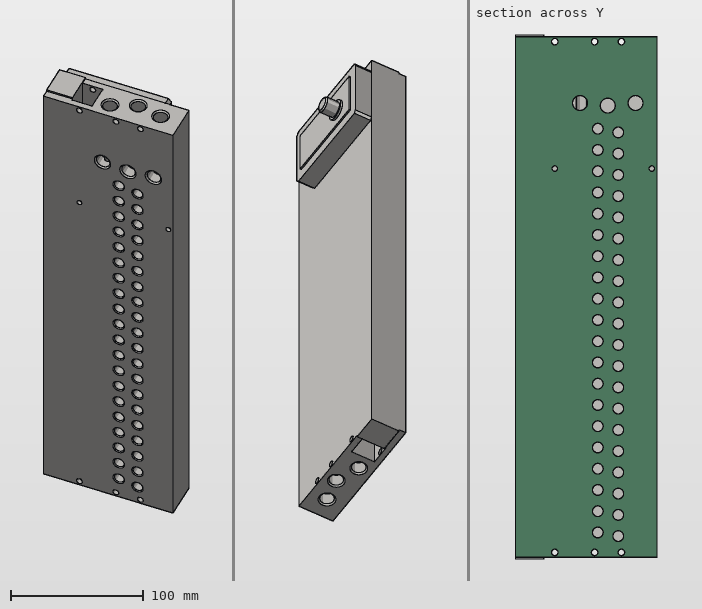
import cadquery as cq

TOTAL_LENGTH = 395.0
BODY_WIDTH = 106.5
BODY_DEPTH = 30.0
TOTAL_DEPTH = 58.5

PAD_HEIGHT = 1.4
PAD_WIDTH = 21.5
PAD_FRONT = 6.0

DUCT_WIDTH = 16.5
DUCT_FRONT = 4.7
DUCT_DEPTH = 20.0

CHANNELS = [
    (49.8, 11.5, 8.3),
    (69.5, 19.5, 9.5),
    (89.5, 15.5, 10.5),
]
CHANNEL_PORT_DIAMETER = 11.0
CHANNEL_PORT_DEPTH = 12.0

LARGE_PORT_RIM = 1.0
SMALL_PORT_RIM = 0.8

SUPPLY_PORTS = [(48.5, 343.5), (69.5, 341.5), (90.5, 343.5)]
SUPPLY_PORT_DIAMETER = 11.0
SUPPLY_PORT_DEPTH = 10.0

PORT_COLUMNS = [(62.0, 324.3), (77.5, 321.5)]
PORT_COUNT = 20
PORT_COLUMN_LENGTH = 304.0
PORT_PITCH = PORT_COLUMN_LENGTH / (PORT_COUNT - 1)
PORT_DIAMETER = 8.0
PORT_DEPTH = 10.0

SCREW_X = [PAD_WIDTH + DUCT_WIDTH / 2, 59.5, 79.8]
SCREW_DIAMETER = 4.7
SCREW_END_DISTANCE = 5.0

MOUNT_X = [PAD_WIDTH + DUCT_WIDTH / 2, 102.7]
MOUNT_Z = 294.3
MOUNT_DIAMETER = 4.0
MOUNT_DEPTH = 4.0

MODULE_LEFT = 0.5
MODULE_WIDTH = 85.7
MODULE_BOTTOM = 330.2
MODULE_LENGTH = 54.5
MODULE_DEPTH = 14.2
MODULE_CORNER = 2.8
MODULE_LEFT_CORNER = 1.0
PLATE_WIDTH = 72.0
PLATE_LENGTH = 36.5
PLATE_THICKNESS = 1.0

CONNECTOR_X = 25.3
CONNECTOR_Z = 354.5
CONNECTOR_DIAMETER = 12.5
CONNECTOR_CHAMFER = 1.0
FLANGE_DIAMETER = 16.5
FLANGE_THICKNESS = 2.8

MODULE_X = MODULE_LEFT + MODULE_WIDTH / 2
MODULE_Z = MODULE_BOTTOM + MODULE_LENGTH / 2
MODULE_BACK = BODY_DEPTH + MODULE_DEPTH

BACKWARD = cq.Vector(0, 1, 0)
UPWARD = cq.Vector(0, 0, 1)


def box(x, y, z, width, depth, length):
    """Box with its lowest corner at (x, y, z)."""
    return cq.Workplane("XY").box(width, depth, length, centered=False).translate((x, y, z))


def cylinder(start, direction, diameter, length):
    """Cylinder of the given length reaching from start along direction."""
    return cq.Workplane(obj=cq.Solid.makeCylinder(diameter / 2, length, cq.Vector(start), direction))


def countersunk_port(mouth, inward, diameter, depth, rim):
    """Blind port whose mouth widens at 45 degrees by rim on every side."""
    bore = cylinder(mouth, inward, diameter, depth)
    radius = diameter / 2
    countersink = cq.Solid.makeCone(radius + rim, radius, rim, cq.Vector(mouth), inward)
    return bore.union(cq.Workplane(obj=countersink))


def make_body():
    core = box(0, 0, PAD_HEIGHT, BODY_WIDTH, BODY_DEPTH, TOTAL_LENGTH - 2 * PAD_HEIGHT)
    pads = box(0, PAD_FRONT, 0, PAD_WIDTH, BODY_DEPTH - PAD_FRONT, TOTAL_LENGTH)
    duct = box(PAD_WIDTH, DUCT_FRONT, 0, DUCT_WIDTH, DUCT_DEPTH, TOTAL_LENGTH)
    return core.union(pads).cut(duct)


def cut_channels(body):
    ends = [(PAD_HEIGHT, UPWARD), (TOTAL_LENGTH - PAD_HEIGHT, -UPWARD)]
    for x, y, diameter in CHANNELS:
        body = body.cut(cylinder((x, y, 0), UPWARD, diameter, TOTAL_LENGTH))
        for z, inward in ends:
            port = countersunk_port(
                (x, y, z), inward, CHANNEL_PORT_DIAMETER, CHANNEL_PORT_DEPTH, LARGE_PORT_RIM
            )
            body = body.cut(port)
    return body


def cut_front_ports(body):
    for x, z in SUPPLY_PORTS:
        port = countersunk_port(
            (x, 0, z), BACKWARD, SUPPLY_PORT_DIAMETER, SUPPLY_PORT_DEPTH, LARGE_PORT_RIM
        )
        body = body.cut(port)
    for x, top_z in PORT_COLUMNS:
        for row in range(PORT_COUNT):
            mouth = (x, 0, top_z - row * PORT_PITCH)
            body = body.cut(countersunk_port(mouth, BACKWARD, PORT_DIAMETER, PORT_DEPTH, SMALL_PORT_RIM))
    return body


def cut_fastener_holes(body):
    for x in SCREW_X:
        for z in (SCREW_END_DISTANCE, TOTAL_LENGTH - SCREW_END_DISTANCE):
            body = body.cut(cylinder((x, 0, z), BACKWARD, SCREW_DIAMETER, BODY_DEPTH))
    for x in MOUNT_X:
        body = body.cut(cylinder((x, 0, MOUNT_Z), BACKWARD, MOUNT_DIAMETER, MOUNT_DEPTH))
    return body


def make_module():
    right = MODULE_LEFT + MODULE_WIDTH
    top = MODULE_BOTTOM + MODULE_LENGTH
    outline = [
        (MODULE_LEFT, MODULE_BOTTOM + MODULE_CORNER),
        (MODULE_LEFT + MODULE_LEFT_CORNER, MODULE_BOTTOM),
        (right - MODULE_CORNER, MODULE_BOTTOM),
        (right, MODULE_BOTTOM + MODULE_CORNER),
        (right, top - MODULE_CORNER),
        (right - MODULE_CORNER, top),
        (MODULE_LEFT + MODULE_LEFT_CORNER, top),
        (MODULE_LEFT, top - MODULE_CORNER),
    ]
    back_face = cq.Workplane("XZ", origin=(0, BODY_DEPTH, 0))
    housing = back_face.polyline(outline).close().extrude(-MODULE_DEPTH)
    plate = box(
        MODULE_X - PLATE_WIDTH / 2, MODULE_BACK, MODULE_Z - PLATE_LENGTH / 2,
        PLATE_WIDTH, PLATE_THICKNESS, PLATE_LENGTH,
    )
    return housing.union(plate)


def make_connector():
    base = (CONNECTOR_X, MODULE_BACK, CONNECTOR_Z)
    flange = cylinder(base, BACKWARD, FLANGE_DIAMETER, FLANGE_THICKNESS)
    plug = cylinder(base, BACKWARD, CONNECTOR_DIAMETER, TOTAL_DEPTH - MODULE_BACK)
    plug = plug.faces(">Y").chamfer(CONNECTOR_CHAMFER)
    return flange.union(plug)


body = make_body()
body = cut_channels(body)
body = cut_front_ports(body)
body = cut_fastener_holes(body)
result = body.union(make_module()).union(make_connector())